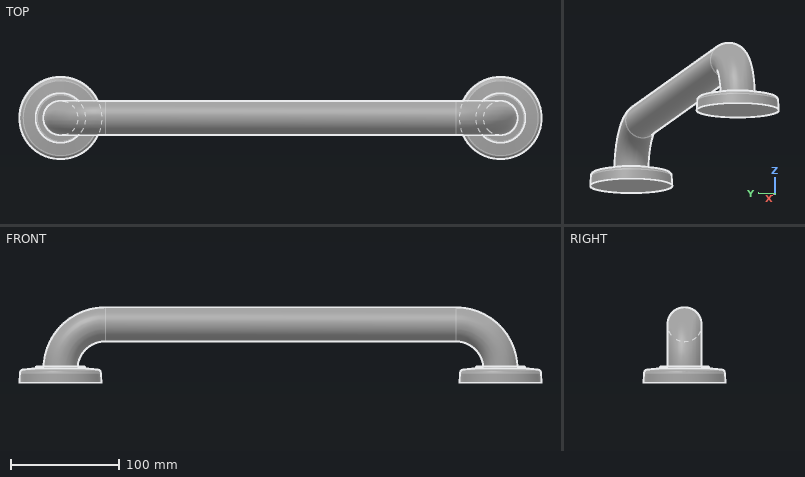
import math

import cadquery as cq

overall_height = 69.85
mount_spacing = 406.4
tube_diameter = 31.75
bend_start_height = 12.7

flange_diameter = 76.2
flange_wall_draft = 4.0
flange_top_slope = 6.0
flange_shoulder_height = 12.0
flange_edge_radius = 3.175

collar_diameter = 46.0
collar_top_height = 15.1
collar_edge_radius = 1.5

mount_x = mount_spacing / 2
tube_radius = tube_diameter / 2
axis_height = overall_height - tube_radius
bend_radius = axis_height - bend_start_height
straight_half_length = mount_x - bend_radius

flange_radius = flange_diameter / 2
collar_radius = collar_diameter / 2
shoulder_radius = flange_radius - flange_shoulder_height * math.tan(math.radians(flange_wall_draft))
top_rise = shoulder_radius * math.tan(math.radians(flange_top_slope))


def make_flange(x):
    """Round wall flange: drafted wall, rounded rim, shallow conical top and a low rounded collar."""
    shoulder_edge = cq.selectors.RadiusNthSelector(-2)
    disc = (
        cq.Workplane("XZ")
        .lineTo(flange_radius, 0)
        .lineTo(shoulder_radius, flange_shoulder_height)
        .lineTo(0, flange_shoulder_height + top_rise)
        .close()
        .revolve(360, (0, 0, 0), (0, 1, 0))
        .edges(shoulder_edge)
        .fillet(flange_edge_radius)
    )
    collar = (
        cq.Workplane("XY")
        .circle(collar_radius)
        .extrude(collar_top_height)
        .faces(">Z")
        .edges()
        .fillet(collar_edge_radius)
    )
    return disc.union(collar).translate((x, 0, 0))


def make_tube():
    """Straight grip bar with a quarter-circle bend down to each flange."""
    path = (
        cq.Workplane("XZ")
        .moveTo(-mount_x, bend_start_height)
        .radiusArc((-straight_half_length, axis_height), bend_radius)
        .lineTo(straight_half_length, axis_height)
        .radiusArc((mount_x, bend_start_height), bend_radius)
    )
    return (
        cq.Workplane("XY", origin=(-mount_x, 0, bend_start_height))
        .circle(tube_radius)
        .sweep(path)
    )


result = make_tube()
for side in (-1, 1):
    result = result.union(make_flange(side * mount_x))